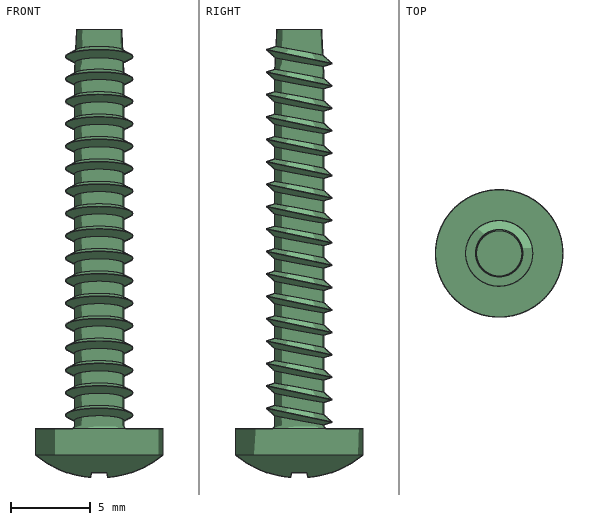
import cadquery as cq
import math

overall_length = 28.05
shank_length = 25.0
head_diameter = 8.0
head_rim_height = 1.65

core_diameter = 3.1
tip_diameter = 2.83
tip_taper_length = 2.8
neck_fillet = 0.17

ridge_count = 17
ridge_pitch = 1.4
first_ridge_below_tip = 1.7
ridge_diameter = 4.2
ridge_angle = 60.0
ridge_crest_width = 0.03
ridge_tilt = 12.0

recess_width = 1.07
recess_span = 4.6
recess_depth = 1.95
recess_side_draft = 12.0
recess_tip_span = 1.12

head_top = overall_length - shank_length
head_radius = head_diameter / 2
core_radius = core_diameter / 2
tip_radius = tip_diameter / 2
dome_edge_height = head_top - head_rim_height


def make_body():
    """Head with spherical dome, filleted neck and tapered tip, as one revolved solid."""
    corner_radius = recess_width / math.sqrt(2)
    sphere_center = (head_radius**2 + dome_edge_height**2 - corner_radius**2) / (2 * dome_edge_height)
    sphere_radius = math.hypot(corner_radius, sphere_center)
    apex = sphere_center - sphere_radius
    mid_radius = head_radius / 2
    mid_height = sphere_center - math.sqrt(sphere_radius**2 - mid_radius**2)
    fillet_middle = neck_fillet * (1 - math.sqrt(0.5))
    return (
        cq.Workplane("XZ")
        .moveTo(0, apex)
        .threePointArc((mid_radius, mid_height), (head_radius, dome_edge_height))
        .lineTo(head_radius, head_top)
        .lineTo(core_radius + neck_fillet, head_top)
        .threePointArc(
            (core_radius + fillet_middle, head_top + fillet_middle),
            (core_radius, head_top + neck_fillet),
        )
        .lineTo(core_radius, overall_length - tip_taper_length)
        .lineTo(tip_radius, overall_length)
        .lineTo(0, overall_length)
        .close()
        .revolve(360, (0, 0, 0), (0, 1, 0))
    )


def make_ridge():
    """One V-section ring centred on the origin, high on the -Y side and low on the +Y side."""
    crest_radius = ridge_diameter / 2
    inner_radius = tip_radius / 2
    crest_half = ridge_crest_width / 2
    inner_half = crest_half + (crest_radius - inner_radius) * math.tan(math.radians(ridge_angle / 2))
    return (
        cq.Workplane("XZ")
        .polyline([
            (inner_radius, -inner_half),
            (crest_radius, -crest_half),
            (crest_radius, crest_half),
            (inner_radius, inner_half),
        ])
        .close()
        .revolve(360, (0, 0, 0), (0, 1, 0))
        .rotate((0, 0, 0), (1, 0, 0), -ridge_tilt)
    )


def make_recess():
    """Cross of two drafted slots, bounded by a cone that narrows upward into the head."""
    floor_width = recess_width - 2 * recess_depth * math.tan(math.radians(recess_side_draft))
    side_growth = (recess_width - floor_width) / 2
    slot = (
        cq.Workplane("XZ")
        .polyline([
            (-recess_width / 2 - side_growth, -recess_depth),
            (recess_width / 2 + side_growth, -recess_depth),
            (floor_width / 2, recess_depth),
            (-floor_width / 2, recess_depth),
        ])
        .close()
        .extrude(recess_span, both=True)
    )
    cross = slot.union(slot.rotate((0, 0, 0), (0, 0, 1), 90))
    cone_growth = (recess_span - recess_tip_span) / 2
    cone = (
        cq.Workplane("XZ")
        .polyline([
            (0, -recess_depth),
            (recess_span / 2 + cone_growth, -recess_depth),
            (recess_tip_span / 2, recess_depth),
            (0, recess_depth),
        ])
        .close()
        .revolve(360, (0, 0, 0), (0, 1, 0))
    )
    return cross.intersect(cone)


result = make_body().cut(make_recess())
ridge = make_ridge()
for index in range(ridge_count):
    ridge_height = overall_length - first_ridge_below_tip - index * ridge_pitch
    result = result.union(ridge.translate((0, 0, ridge_height)))